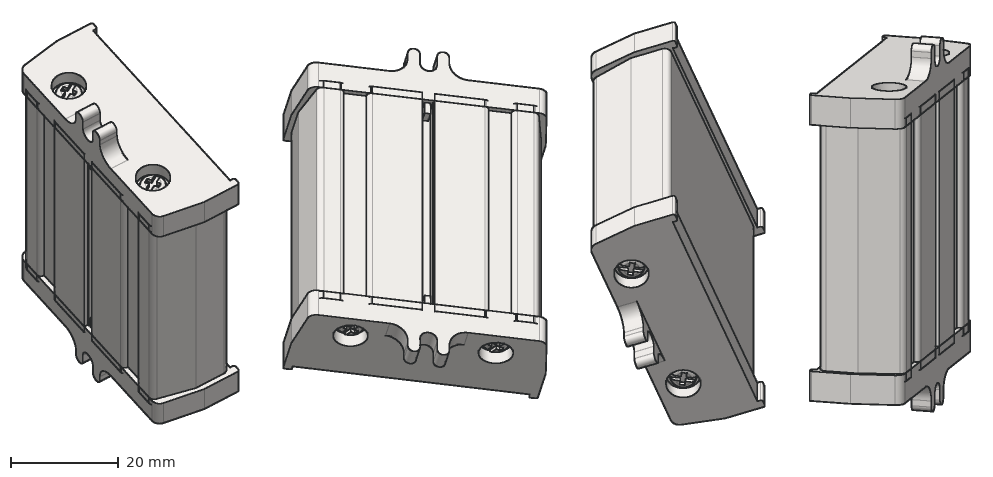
import cadquery as cq


overall_height = 70.2
cap_outer_z = 29.3
cap_length = 5.7
socket_depth = 1.6
socket_clearance = 0.035
cap_inner_z = cap_outer_z - cap_length
housing_half_length = cap_inner_z + socket_depth

edge_reach = 0.035

housing_half_width = 23.0
housing_front_half_width = 20.85
housing_depth = 16.1
housing_bend_y = 8.5
housing_front_radius = 1.25
housing_rear_radius = 1.3

groove_inner_x = 11.6
groove_outer_x = 15.9
groove_depth = 1.05
groove_lip_radius = 0.9

slot_mouth_width = 2.4
slot_width = 2.0
slot_mouth_depth = 0.85
slot_depth = 3.2

cap_width = 48.2
cap_half_width = cap_width / 2
cap_front_half_width = 22.4
cap_depth = 17.6
cap_rear_y = 16.65
cap_bend_y = 9.6
cap_front_radius = 1.75
lip_width = 1.7
lip_radius = 0.4

key_width = 1.1
key_length = 2.45
key_front_y = 0.9

ear_thickness = 3.85
ear_half_width = 3.9
ear_root_radius = 3.5
fork_width = 3.2
fork_depth = 4.8

screw_x = 13.75
screw_y = 5.2
counterbore_radius = 3.2
counterbore_depth = 2.8
head_radius = 2.5
head_height = 1.3
head_edge_radius = 1.05
shank_radius = 1.4
shank_length = 8.4
recess_depth = 0.85
drive_slot_width = 1.05
cross_arm_width = 1.0
cross_arm_length = 2.8
drive_angle = -61.0
seat_z = cap_outer_z - counterbore_depth


def prism(half_outline, bottom_z, top_z):
    """Extrude along Z an outline given by its points with X > 0, mirrored about X = 0."""
    mirrored = [(-x, y) for x, y in reversed(half_outline)]
    outline = cq.Workplane("XY").workplane(offset=bottom_z).polyline(half_outline + mirrored).close()
    return outline.extrude(top_z - bottom_z)


def block(x_range, y_range, z_range):
    """Box between the given limits along each axis."""
    limits = (x_range, y_range, z_range)
    sizes = [high - low for low, high in limits]
    corner = [low for low, high in limits]
    return cq.Workplane("XY").box(*sizes, centered=False).translate(tuple(corner))


def round_corners(body, x, y, radius):
    """Fillet the two edges along Z that pass through (x, y) and (-x, y)."""
    for side in (-1, 1):
        selector = cq.selectors.BoxSelector(
            (side * x - edge_reach, y - edge_reach, -overall_height),
            (side * x + edge_reach, y + edge_reach, overall_height),
        )
        body = body.edges("|Z").edges(selector).fillet(radius)
    return body


def make_housing_profile():
    """Extruded profile with two round-lipped grooves and a stepped middle slot in its front."""
    z_range = (-housing_half_length, housing_half_length)
    body = prism(
        [
            (housing_front_half_width, 0),
            (housing_half_width, housing_bend_y),
            (housing_half_width, housing_depth),
        ],
        *z_range,
    )
    body = round_corners(body, housing_front_half_width, 0, housing_front_radius)
    body = round_corners(body, housing_half_width, housing_depth, housing_rear_radius)
    for x_range in ((groove_inner_x, groove_outer_x), (-groove_outer_x, -groove_inner_x)):
        body = body.cut(block(x_range, (0, groove_depth), z_range))
    for lip_x in (groove_inner_x, groove_outer_x):
        body = round_corners(body, lip_x, 0, groove_lip_radius)
    for width, depth in ((slot_mouth_width, slot_mouth_depth), (slot_width, slot_depth)):
        body = body.cut(block((-width / 2, width / 2), (0, depth), z_range))
    return body


def make_ear():
    """Upper forked ear with concave roots and round tips, extruded back from the front face."""
    tip_z = overall_height / 2
    fork_radius = fork_width / 2
    fork_bottom_z = tip_z - fork_depth
    prong_radius = (ear_half_width - fork_radius) / 2
    shoulder_z = tip_z - prong_radius
    root_half_width = ear_half_width + ear_root_radius
    half_ear = (
        cq.Workplane("XZ")
        .moveTo(0, cap_inner_z)
        .lineTo(root_half_width, cap_inner_z)
        .lineTo(root_half_width, cap_outer_z)
        .radiusArc((ear_half_width, cap_outer_z + ear_root_radius), ear_root_radius)
        .lineTo(ear_half_width, shoulder_z)
        .threePointArc((ear_half_width - prong_radius, tip_z), (fork_radius, shoulder_z))
        .lineTo(fork_radius, fork_bottom_z + fork_radius)
        .radiusArc((0, fork_bottom_z), fork_radius)
        .close()
        .extrude(-ear_thickness)
    )
    return half_ear.union(half_ear.mirror("YZ"))


def screw_plane(z):
    """Workplane at height z with a point on each of the two upper screw axes."""
    return cq.Workplane("XY").workplane(offset=z).pushPoints([(-screw_x, screw_y), (screw_x, screw_y)])


def make_cap(plain_housing):
    """Upper end cap, with a socket that matches the end of the housing."""
    cap = prism(
        [
            (cap_front_half_width, 0),
            (cap_half_width, cap_bend_y),
            (cap_half_width, cap_depth),
            (cap_half_width - lip_width, cap_depth),
            (cap_half_width - lip_width, cap_rear_y),
        ],
        cap_inner_z,
        cap_outer_z,
    )
    cap = round_corners(cap, cap_front_half_width, 0, cap_front_radius)
    for lip_x in (cap_half_width, cap_half_width - lip_width):
        cap = round_corners(cap, lip_x, cap_depth, lip_radius)
    key = block(
        (-key_width / 2, key_width / 2),
        (key_front_y, slot_depth),
        (cap_inner_z - key_length, cap_outer_z),
    )
    counterbores = screw_plane(seat_z).circle(counterbore_radius).extrude(counterbore_depth)
    shank_holes = screw_plane(cap_inner_z).circle(shank_radius).extrude(cap_length)
    cap = cap.union(make_ear()).union(key)
    return cap.cut(counterbores).cut(shank_holes).cut(plain_housing)


def head_plane(z):
    """Workplane at height z above the underside of a screw head."""
    return cq.Workplane("XY").workplane(offset=z)


def make_screw(x):
    """Upper screw at the given X: round-edged head, slot with a shorter cross arm, plain shank."""
    head = head_plane(0).circle(head_radius).extrude(head_height)
    head = head.faces(">Z").edges().fillet(head_edge_radius)
    recess_floor = head_height - recess_depth
    slot = head_plane(recess_floor).rect(2 * head_radius, drive_slot_width).extrude(recess_depth)
    cross_arm = head_plane(recess_floor).rect(cross_arm_width, cross_arm_length).extrude(recess_depth)
    recess = slot.union(cross_arm).rotate((0, 0, 0), (0, 0, 1), drive_angle)
    shank = head_plane(0).circle(shank_radius).extrude(-shank_length)
    return head.cut(recess).union(shank).translate((x, screw_y, seat_z))


def finish_housing(profile):
    """Add the blind screw holes and the small setback of the front where each end sits in a cap."""
    screw_holes = screw_plane(seat_z).circle(shank_radius).extrude(-shank_length)
    end_setback = block(
        (-housing_half_width, housing_half_width),
        (0, socket_clearance),
        (cap_inner_z, housing_half_length),
    )
    for cutter in (screw_holes, end_setback):
        profile = profile.cut(cutter).cut(cutter.mirror("XY"))
    return profile


plain_housing = make_housing_profile()
housing = finish_housing(plain_housing)
upper_cap = make_cap(plain_housing)
lower_cap = upper_cap.mirror("XY")

screws = []
for x in (-screw_x, screw_x):
    upper_screw = make_screw(x)
    screws += [upper_screw, upper_screw.mirror("XY")]

result = cq.Compound.makeCompound(
    [housing.val(), upper_cap.val(), lower_cap.val(), *[screw.val() for screw in screws]]
)